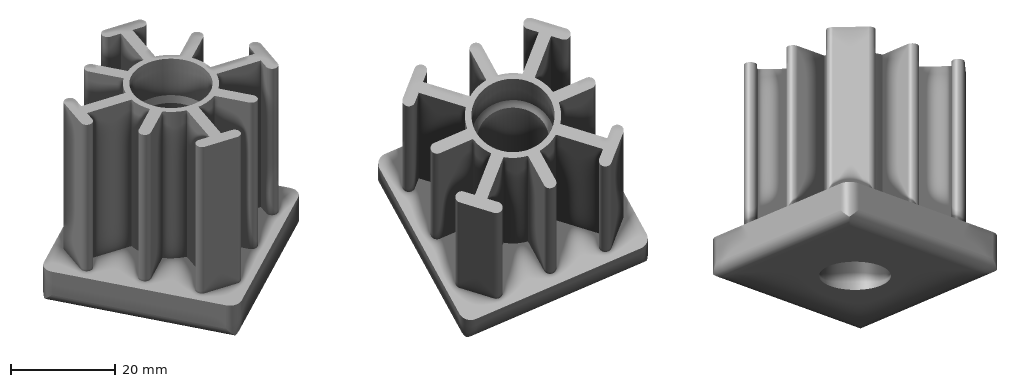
import cadquery as cq

total_height = 42.99
flange_side = 40.0
flange_thickness = 8.0
edge_radius = 2.4

tube_outer_diameter = 18.5
bore_diameter = 16.0
bore_depth = 8.7
through_diameter = 13.84

rib_width = 2.5
rib_round_radius = rib_width / 2
straight_rib_reach = 17.5
corner_bar_distance = 20.0
corner_bar_length = 9.5

side_count = 4

side_angle = 360 / side_count
core_height = total_height - flange_thickness
bore_taper = (bore_diameter - through_diameter) / 2
shoulder_top = total_height - bore_depth
shoulder_bottom = shoulder_top - bore_taper


def make_flange():
    """Square flange whose bottom rounds meet in mitres under the rounded corners."""
    body = (
        cq.Workplane("XY")
        .box(flange_side, flange_side, flange_thickness, centered=(True, True, False))
    )
    along_y = body.faces("<Z").edges("|Y").fillet(edge_radius)
    along_x = body.faces("<Z").edges("|X").fillet(edge_radius)
    upright = body.edges("|Z").fillet(edge_radius)
    return upright.intersect(along_x).intersect(along_y)


def make_straight_rib():
    """Radial rib along +X with a rounded tip."""
    tip_centre = straight_rib_reach - rib_round_radius
    return (
        cq.Workplane("XY", origin=(0, 0, flange_thickness))
        .center(tip_centre / 2, 0)
        .slot2D(tip_centre + rib_width, rib_width)
        .extrude(core_height)
    )


def make_corner_rib():
    """Radial rib along +X ending in a round-ended crossbar."""
    stem = (
        cq.Workplane("XY", origin=(0, 0, flange_thickness))
        .center(corner_bar_distance / 2, 0)
        .rect(corner_bar_distance, rib_width)
        .extrude(core_height)
    )
    crossbar = (
        cq.Workplane("XY", origin=(0, 0, flange_thickness))
        .center(corner_bar_distance, 0)
        .slot2D(corner_bar_length, rib_width, angle=90)
        .extrude(core_height)
    )
    return stem.union(crossbar)


def make_bore():
    """Through hole, opened by a 45 degree shoulder to the wider upper bore."""
    through_radius = through_diameter / 2
    bore_radius = bore_diameter / 2
    return (
        cq.Workplane("XZ")
        .moveTo(0, 0)
        .lineTo(through_radius, 0)
        .lineTo(through_radius, shoulder_bottom)
        .lineTo(bore_radius, shoulder_top)
        .lineTo(bore_radius, total_height)
        .lineTo(0, total_height)
        .close()
        .revolve(360, (0, 0, 0), (0, 1, 0))
    )


tube = (
    cq.Workplane("XY", origin=(0, 0, flange_thickness))
    .circle(tube_outer_diameter / 2)
    .extrude(core_height)
)

result = make_flange().union(tube)
straight_rib = make_straight_rib()
corner_rib = make_corner_rib()
axis_start = (0, 0, 0)
axis_end = (0, 0, 1)
for side in range(side_count):
    angle = side * side_angle
    result = result.union(straight_rib.rotate(axis_start, axis_end, angle))
    result = result.union(corner_rib.rotate(axis_start, axis_end, angle + side_angle / 2))
result = result.cut(make_bore())